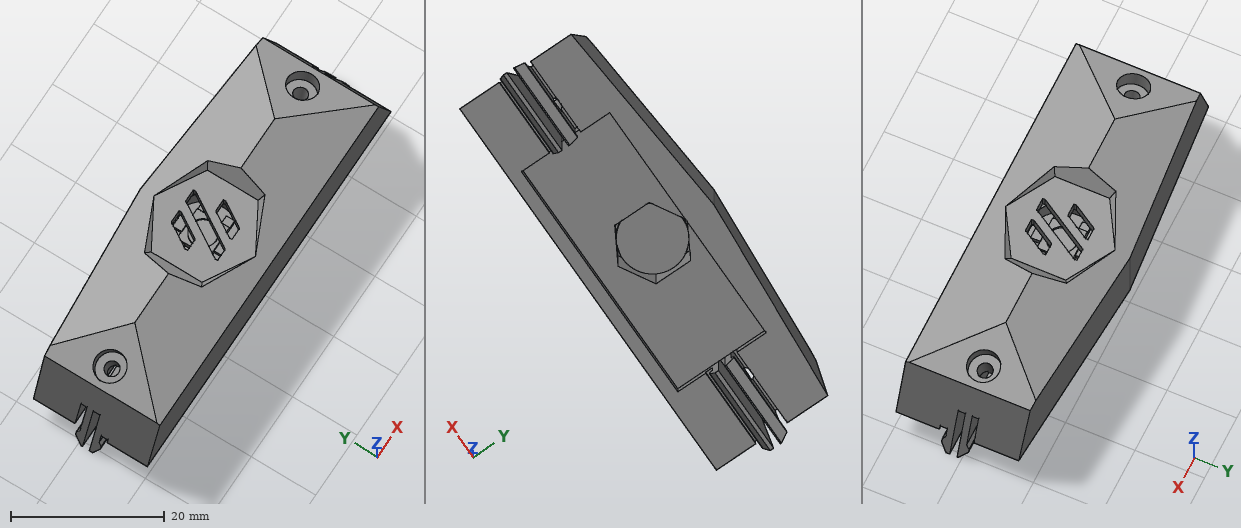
import cadquery as cq
import math


overall_length = 61.4
overall_depth = 20.0
ridge_height = 10.8
leg_drop = 3.2
end_depth = 17.7
end_lean = math.tan(math.radians(20.0))
roof_pitch = math.tan(math.radians(14.0))
ridge_half_length = 16.95
ridge_y = overall_depth / 2
half_length = overall_length / 2
total_height = ridge_height + leg_drop

dish_floor_z = 8.85
dish_apothem = 6.8
dish_cutter_height = ridge_height - dish_floor_z + 0.6

slot_width = 2.1
slot_lean = math.tan(math.radians(32.0))
slot_tip_flat = 0.35
slots_x = 0.2
long_slot = 8.0
short_slot = 3.9
short_slot_dx = 2.2
short_slot_dy = 2.0
dish_floor_thickness = 1.35

pocket_half_length = 18.0
pocket_height = 1.7
pocket_wall = 1.85

slit_roof_z = 4.0
hook_relief_z = 0.55
front_relief_y = 6.25
front_leg = (7.3, 8.3)
back_leg = (10.3, 9.3)
back_relief_y = 11.25
hook_reach = 0.4
hook_top_z = -0.75
hook_flat_top_z = -1.3
hook_flat_bottom_z = -1.8
front_tip_y = 7.75
back_tip_y = 9.5

screw_x = 23.3
screw_y = 9.75
screw_head_diameter = 4.5
screw_head_depth = 1.95
screw_shank_diameter = 2.1
screw_shank_depth = 4.35

board_diameter = 9.5
board_thickness = 1.0
module_y = ridge_y + 0.25
led_size = 5.0
led_height = 1.0
led_top_z = 6.1
lens_diameter = 4.0
lens_depth = 0.35
lead_size = 1.3
lead_height = 0.6
chip_width = 2.45
chip_depth = 1.5
chip_height = 0.6
board_top_z = led_top_z - led_height


def prism_along_y(points, y0, y1):
    """Extrude an outline of (x, z) points from y0 to y1."""
    return cq.Workplane("XZ", origin=(0, y0, 0)).polyline(points).close().extrude(y0 - y1)


def prism_along_x(points, x0, x1):
    """Extrude an outline of (y, z) points from x0 to x1."""
    return cq.Workplane("YZ", origin=(x0, 0, 0)).polyline(points).close().extrude(x1 - x0)


def block(x_range, y_range, z_range):
    """Box between the given pairs of X, Y and Z limits."""
    (x0, x1), (y0, y1), (z0, z1) = x_range, y_range, z_range
    box = cq.Workplane("XY").box(x1 - x0, y1 - y0, z1 - z0, centered=False)
    return box.translate((x0, y0, z0))


def mirror_in_x(points):
    """Complete an outline given for the right half, listed from the bottom up."""
    return points + [(-x, other) for x, other in reversed(points)]


def envelope():
    """Outer shape, from the leg tips up to the hipped roof."""
    top_half_length = half_length - total_height * end_lean
    end_walls = mirror_in_x([(half_length, -leg_drop), (top_half_length, ridge_height)])

    hip_z = ridge_height - (half_length - ridge_half_length) * roof_pitch
    hips = mirror_in_x([(half_length, -leg_drop), (half_length, hip_z), (ridge_half_length, ridge_height)])

    eave_z = ridge_height - ridge_y * roof_pitch
    gable = [
        (0, -leg_drop), (overall_depth, -leg_drop), (overall_depth, eave_z),
        (ridge_y, ridge_height), (0, eave_z),
    ]

    underside_half_length = half_length - leg_drop * end_lean
    back_slope = (overall_depth - end_depth) / underside_half_length
    corner_y = overall_depth - half_length * back_slope
    plan = [
        (-half_length, 0), (half_length, 0), (half_length, corner_y),
        (0, overall_depth), (-half_length, corner_y),
    ]
    footprint = cq.Workplane("XY", origin=(0, 0, -leg_drop)).polyline(plan).close().extrude(total_height)

    return (
        footprint
        .intersect(prism_along_y(end_walls, 0, overall_depth))
        .intersect(prism_along_y(hips, 0, overall_depth))
        .intersect(prism_along_x(gable, -half_length, half_length))
    )


def add_hexagon(plane, apothem):
    """Draw a hexagon about the plane's origin, two corners on its local X axis."""
    return plane.polygon(6, 4 * apothem / math.sqrt(3))


def pointed_plane(y, z):
    """Horizontal plane whose local X axis runs along Y."""
    return cq.Workplane(cq.Plane(origin=(0, y, z), xDir=(0, 1, 0), normal=(0, 0, 1)))


def dish():
    """Hexagonal cutter with 45 degree walls, two corners on the X = 0 plane."""
    floor = add_hexagon(pointed_plane(ridge_y, dish_floor_z), dish_apothem)
    rim = add_hexagon(floor.workplane(offset=dish_cutter_height), dish_apothem + dish_cutter_height)
    return rim.loft(combine=True)


def light_slot(x, y, length):
    """Slanted slot cutter centred on (x, y), its two sharp corners cut off parallel to Y."""
    top = length / 2
    lean = top * slot_lean
    half_width = slot_width / 2
    tip_x = lean + half_width - slot_tip_flat * slot_lean
    half_outline = [(lean - half_width, top), (tip_x, top), (tip_x, top - slot_tip_flat)]
    outline = half_outline + [(-px, -py) for px, py in half_outline]
    floor = cq.Workplane("XY", origin=(x, y, dish_floor_z - dish_floor_thickness))
    return floor.polyline(outline).close().extrude(dish_floor_thickness)


def hooked_leg(hooked_y, inner_y, tip_y):
    """Snap leg along the whole length, its hook pointing away from the other leg."""
    outward = math.copysign(hook_reach, hooked_y - inner_y)
    outline = [
        (inner_y, slit_roof_z), (inner_y, -leg_drop), (tip_y, -leg_drop),
        (hooked_y + outward, hook_flat_bottom_z), (hooked_y + outward, hook_flat_top_z),
        (hooked_y, hook_top_z), (hooked_y, slit_roof_z),
    ]
    return prism_along_x(outline, -half_length, half_length)


def screw_hole(side):
    """Counterbored blind hole, square to the sloping roof face on the given side."""
    surface_z = ridge_height - (screw_x - ridge_half_length) * roof_pitch
    face = cq.Plane(
        origin=(side * screw_x, screw_y, surface_z), xDir=(0, 1, 0), normal=(side * roof_pitch, 0, 1)
    )
    head = cq.Workplane(face).circle(screw_head_diameter / 2).extrude(-screw_head_depth)
    shank = cq.Workplane(face).circle(screw_shank_diameter / 2)
    return head.union(shank.extrude(-screw_head_depth - screw_shank_depth))


def make_housing():
    shape = envelope()
    between_blocks = (-pocket_half_length, pocket_half_length)
    full_depth = (0, overall_depth)

    housing = shape.intersect(block((-half_length, half_length), full_depth, (0, ridge_height)))

    housing = housing.cut(dish())
    housing = housing.cut(light_slot(slots_x, ridge_y, long_slot))
    for side in (-1, 1):
        slot_x = slots_x + side * short_slot_dx
        slot_y = ridge_y - side * short_slot_dy
        housing = housing.cut(light_slot(slot_x, slot_y, short_slot))

    pocket_depth = (pocket_wall, end_depth - pocket_wall)
    housing = housing.cut(block(between_blocks, pocket_depth, (0, pocket_height)))
    module_bay = add_hexagon(pointed_plane(module_y, 0), board_diameter / 2)
    housing = housing.cut(module_bay.extrude(dish_floor_z - dish_floor_thickness))

    legs = hooked_leg(*front_leg, front_tip_y).union(hooked_leg(*back_leg, back_tip_y)).intersect(shape)
    housing = housing.union(legs.cut(block(between_blocks, full_depth, (-leg_drop, slit_roof_z))))

    slits = [
        (front_leg[1], back_leg[1], slit_roof_z),
        (back_leg[0], back_relief_y, slit_roof_z),
        (front_relief_y, front_leg[0], hook_relief_z),
    ]
    for y0, y1, roof_z in slits:
        for x_range in ((-half_length, -pocket_half_length), (pocket_half_length, half_length)):
            housing = housing.cut(block(x_range, (y0, y1), (0, roof_z)))

    for side in (-1, 1):
        housing = housing.cut(screw_hole(side))
    return housing


def on_board(x, y):
    """Workplane on top of the board, centred (x, y) away from the middle of the module."""
    return cq.Workplane("XY", origin=(x, module_y + y, board_top_z))


def make_board():
    underside = cq.Workplane("XY", origin=(0, module_y, board_top_z - board_thickness))
    return underside.circle(board_diameter / 2).extrude(board_thickness)


def make_led():
    """Square LED with a round lens recess and a lead beside each corner."""
    led = on_board(0, 0).rect(led_size, led_size).extrude(led_height)
    lead_x = (led_size + lead_size) / 2
    lead_y = (led_size - lead_size) / 2
    for x in (-lead_x, lead_x):
        for y in (-lead_y, lead_y):
            led = led.union(on_board(x, y).rect(lead_size, lead_size).extrude(lead_height))
    lens = cq.Workplane("XY", origin=(0, module_y, led_top_z)).circle(lens_diameter / 2)
    return led.cut(lens.extrude(-lens_depth))


def make_chip(side):
    """Small chip on the board, touching the front (-1) or back (1) face of the LED."""
    y = side * (led_size + chip_depth) / 2
    return on_board(0, y).rect(chip_width, chip_depth).extrude(chip_height)


housing = make_housing()
board = make_board()
led = make_led()
chips = [make_chip(side) for side in (-1, 1)]

result = cq.Compound.makeCompound([housing.val(), board.val(), led.val(), *[chip.val() for chip in chips]])